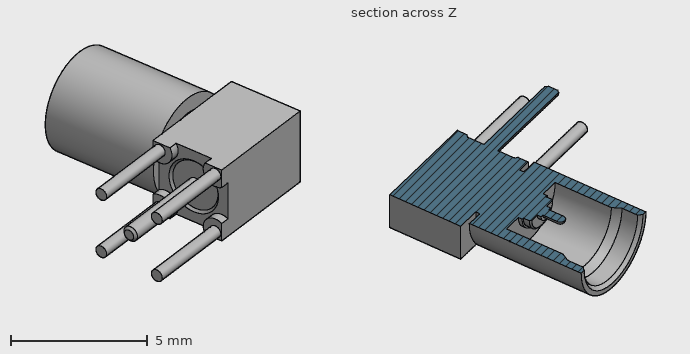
import cadquery as cq
import math


total_x = 8.27
total_y = 8.31

block_side = 3.15
block_y = 4.76
block_back_y = 2.41
block_left_x = -1.59
pad_height = 0.37
pad_radius = 0.56

recess_mouth_radius = 1.13
recess_floor_radius = 1.03
recess_depth = recess_mouth_radius - recess_floor_radius

corner_pin_diameter = 0.5
pin_pitch = 2.54
contact_diameter = 0.62
contact_chamfer = 0.1

barrel_diameter = 4.2
neck_diameter = 2.87
neck_length = 0.17

mouth_radius = 1.895
bore_radius = 1.75
inner_bore_radius = 1.56
mouth_chamfer = mouth_radius - bore_radius
taper_start_depth = 0.83
taper_end_depth = 1.17
floor_depth = 3.66

collar_radius = 0.815
collar_depth = 3.49
insulator_radius = 0.74
insulator_depth = 3.16
insulator_chamfer = 0.07
shoulder_radius = 0.315
shoulder_depth = 2.99
tip_radius = 0.2
tip_depth = 2.16

pad_face_y = block_back_y - block_y
pin_face_y = pad_face_y + pad_height
pin_end_y = block_back_y - total_y
barrel_right_x = block_left_x - neck_length
mouth_x = block_left_x + block_side - total_x
half_pitch = pin_pitch / 2
pin_places = [(x, z) for x in (-half_pitch, half_pitch) for z in (-half_pitch, half_pitch)]


def block_between(y_low, y_high):
    """Slice of the square body between two Y levels."""
    return cq.Workplane("XY", origin=(block_left_x, y_low, 0)).box(
        block_side, y_high - y_low, block_side, centered=(False, False, True)
    )


def cylinder_down(y_start, y_end, radius, places):
    """Cylinders running in -Y, centred at the given (x, z) places."""
    return (
        cq.Workplane("XZ", origin=(0, y_start, 0))
        .pushPoints(places)
        .circle(radius)
        .extrude(y_start - y_end)
    )


def cylinder_along_x(x_start, x_end, radius):
    return cq.Workplane("YZ", origin=(x_start, 0, 0)).circle(radius).extrude(x_end - x_start)


def make_body():
    body = block_between(pin_face_y, block_back_y)
    recess = (
        cq.Workplane("XZ", origin=(0, pin_face_y + recess_depth, 0))
        .circle(recess_floor_radius)
        .workplane(offset=recess_depth)
        .circle(recess_mouth_radius)
        .loft()
    )
    pads = cylinder_down(pin_face_y, pad_face_y, pad_radius, pin_places)
    pads = pads.intersect(block_between(pad_face_y, pin_face_y))
    return body.cut(recess).union(pads)


def make_pins():
    corner_pins = cylinder_down(pin_face_y, pin_end_y, corner_pin_diameter / 2, pin_places)
    contact = cylinder_down(pin_face_y + recess_depth, pin_end_y, contact_diameter / 2, [(0, 0)])
    contact = contact.faces("<Y").chamfer(contact_chamfer)
    return corner_pins.union(contact)


def make_barrel():
    barrel = cylinder_along_x(mouth_x, barrel_right_x, barrel_diameter / 2)
    neck = cylinder_along_x(barrel_right_x, block_left_x, neck_diameter / 2)
    return barrel.union(neck).cut(make_socket())


def make_socket():
    """Cavity of the socket, revolved around the X axis, with the centre contact left standing."""
    tip_bend = tip_radius * math.sqrt(0.5)
    profile = (
        cq.Workplane("XY", origin=(mouth_x, 0, 0))
        .moveTo(0, 0)
        .lineTo(0, mouth_radius)
        .lineTo(mouth_chamfer, bore_radius)
        .lineTo(taper_start_depth, bore_radius)
        .lineTo(taper_end_depth, inner_bore_radius)
        .lineTo(floor_depth, inner_bore_radius)
        .lineTo(floor_depth, collar_radius)
        .lineTo(collar_depth, collar_radius)
        .lineTo(collar_depth, insulator_radius)
        .lineTo(insulator_depth + insulator_chamfer, insulator_radius)
        .lineTo(insulator_depth, insulator_radius - insulator_chamfer)
        .lineTo(insulator_depth, shoulder_radius)
        .lineTo(shoulder_depth, shoulder_radius)
        .lineTo(shoulder_depth, tip_radius)
        .lineTo(tip_depth + tip_radius, tip_radius)
        .threePointArc((tip_depth + tip_radius - tip_bend, tip_bend), (tip_depth, 0))
        .close()
    )
    return profile.revolve(360, (0, 0, 0), (1, 0, 0))


result = make_body().union(make_pins()).union(make_barrel())